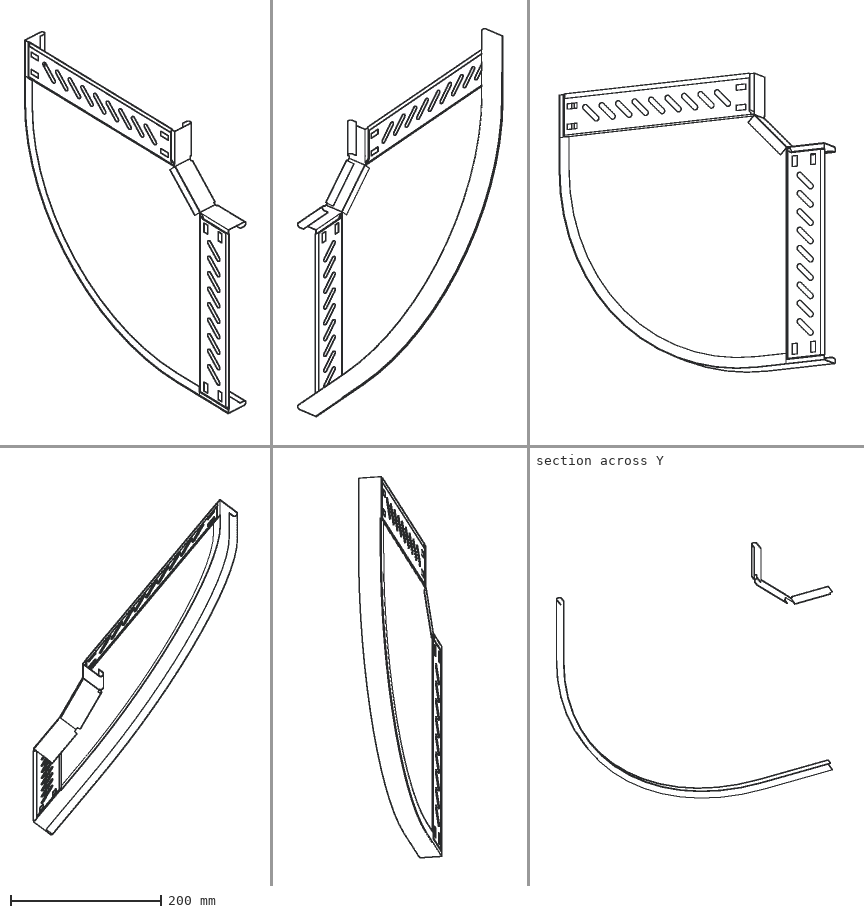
import cadquery as cq
import math


tray_length = 402.0
tray_depth = 32.0
sheet = 1.0
rail_end = 401.0
channel_width = 296.0
bend_center = 299.5

flange_width = 15.0
narrow_flange = 6.5
lip_radius = 4.0
lip_drop = 10.5

inner_narrow_flange = 7.2
tab_width = 14.0
inner_corner = 345.0
lip_relief = 3.2
flange_chamfer = 4.0
flange_setback = 3.2

floor_end = 343.5
joggle_length = 2.5
strip_gap = 1.2
bead_width = 6.5
bead_height = 2.0
foot_overhang = 2.5
foot_height = 2.5

window_length = 14.5
window_height = 7.2
window_spacing = 255.5
window_rows = (356.5, 384.5)
slot_count = 9
slot_pitch = 25.0
slot_length = 31.5
slot_width = 7.2
slot_angle = -45
slot_row = 372.3

lip_center_y = tray_depth - lip_radius
inner_lip_radius = lip_radius - sheet
diagonal_sum = channel_width + inner_corner
diagonal_inside_sum = diagonal_sum - sheet * math.sqrt(2)
diagonal_length = (inner_corner - channel_width) * math.sqrt(2)
mitre = sheet * math.tan(math.radians(22.5))
strip_start = narrow_flange + strip_gap
strip_stop = channel_width - inner_narrow_flange - strip_gap
strip_base = floor_end + joggle_length
strip_middle = (strip_start + strip_stop) / 2
joggle_stop = floor_end - (inner_corner - channel_width)
joggle_middle = floor_end + joggle_length / 2


def slab(points, bottom, top):
    """Flat plate with a straight-sided (X, Z) outline, from Y = bottom to Y = top."""
    return cq.Workplane("XZ", origin=(0, bottom, 0)).polyline(points).close().extrude(bottom - top)


def swapped(body):
    """Mirror image of a body in the plane X = Z."""
    return body.mirror((1, 0, -1))


def lip_section(plane):
    """Half-round lip and its return leg: local x runs into the channel, local y up the wall."""
    lip_end = tray_depth - lip_drop
    return (
        plane.moveTo(0, lip_center_y)
        .threePointArc((lip_radius, tray_depth), (2 * lip_radius, lip_center_y))
        .lineTo(2 * lip_radius, lip_end)
        .lineTo(2 * lip_radius - sheet, lip_end)
        .lineTo(2 * lip_radius - sheet, lip_center_y)
        .threePointArc((lip_radius, lip_center_y + inner_lip_radius), (sheet, lip_center_y))
        .close()
    )


def bend_outline(inset, outline_end):
    """Closed region inside the outer rail: a quarter arc between two straight sides."""
    radius = bend_center - inset
    half_way = bend_center - radius * math.sqrt(0.5)
    return (
        cq.Workplane("XZ")
        .moveTo(inset, outline_end)
        .lineTo(inset, bend_center)
        .threePointArc((half_way, half_way), (bend_center, inset))
        .lineTo(outline_end, inset)
        .lineTo(outline_end, outline_end)
        .close()
    )



def make_bend_band(width, height):
    """Band that follows the outside of the bend, as wide as given, standing on Y = 0."""
    band = bend_outline(0, rail_end).extrude(-height)
    return band.cut(bend_outline(width, tray_length).extrude(-height))


def make_outer_rail():
    wall = make_bend_band(sheet, lip_center_y)
    flange = make_bend_band(flange_width, sheet)
    lip_plane = cq.Plane(origin=(0, 0, bend_center), xDir=(1, 0, 0), normal=(0, 0, 1))
    straight_lip = lip_section(cq.Workplane(lip_plane)).extrude(rail_end - bend_center)
    curved_lip = lip_section(cq.Workplane(lip_plane)).revolve(
        90, (bend_center, 0, 0), (bend_center, -1, 0)
    )
    rail = wall.union(flange).union(curved_lip).union(straight_lip).union(swapped(straight_lip))

    notch = slab(
        [
            (narrow_flange, floor_end),
            (flange_width, floor_end),
            (flange_width, tray_length),
            (narrow_flange, tray_length),
        ],
        0,
        sheet,
    )
    return rail.cut(notch).cut(swapped(notch))



def make_inner_straight_parts():
    """Lip and narrow flange of the straight leg that runs along Z."""
    lip_start = inner_corner + lip_relief
    lip_plane = cq.Plane(origin=(channel_width, 0, lip_start), xDir=(-1, 0, 0), normal=(0, 0, -1))
    lip = lip_section(cq.Workplane(lip_plane)).extrude(lip_start - rail_end)
    flange_start = inner_corner + flange_setback
    flange = slab(
        [
            (channel_width, flange_start),
            (channel_width - inner_narrow_flange, flange_start + flange_chamfer),
            (channel_width - inner_narrow_flange, rail_end),
            (channel_width, rail_end),
        ],
        0,
        sheet,
    )
    return lip.union(flange)


def make_diagonal_parts():
    """Lip and rectangular tab of the 45 degree middle wall."""
    lip_setback = lip_relief * math.sqrt(0.5)
    lip_start = (channel_width + lip_setback, 0, inner_corner - lip_setback)
    diagonal_plane = cq.Plane(origin=lip_start, xDir=(-1, 0, -1), normal=(1, 0, -1))
    lip = lip_section(cq.Workplane(diagonal_plane)).extrude(diagonal_length - 2 * lip_relief)
    tab_run = tab_width * math.sqrt(0.5)
    tab = slab(
        [
            (channel_width, inner_corner),
            (inner_corner, channel_width),
            (inner_corner - tab_run, channel_width - tab_run),
            (channel_width - tab_run, inner_corner - tab_run),
        ],
        0,
        sheet,
    )
    return lip.union(tab)


def make_inner_rail():
    inside = channel_width - sheet
    inside_corner = inner_corner - mitre
    wall = slab(
        [
            (channel_width, rail_end),
            (channel_width, inner_corner),
            (inner_corner, channel_width),
            (rail_end, channel_width),
            (rail_end, inside),
            (inside_corner, inside),
            (inside, inside_corner),
            (inside, rail_end),
        ],
        0,
        lip_center_y,
    )
    leg = make_inner_straight_parts()
    return wall.union(leg).union(swapped(leg)).union(make_diagonal_parts())



def make_floor_sheet():
    corner = diagonal_inside_sum - floor_end
    sheet_outline = bend_outline(sheet, floor_end).extrude(-sheet).translate((0, sheet, 0))
    outside_diagonal = slab(
        [(corner, floor_end), (floor_end, floor_end), (floor_end, corner)], sheet, 2 * sheet
    )
    return sheet_outline.cut(outside_diagonal)


def make_blank_strip():
    """End strip along X: joggled down beside the rail flanges, with a bead along its end."""
    bead_start = tray_length - bead_width
    bead_center = tray_length - bead_width / 2
    bend_angle = math.atan2(sheet, joggle_length)
    bend_sag = math.hypot(joggle_length, sheet) / 4 * math.tan(bend_angle / 2)
    strip = (
        cq.Workplane("YZ", origin=(strip_start, 0, 0))
        .moveTo(sheet, floor_end)
        .sagittaArc((sheet / 2, joggle_middle), bend_sag)
        .sagittaArc((0, strip_base), -bend_sag)
        .lineTo(0, bead_start)
        .threePointArc((bead_height, bead_center), (0, tray_length))
        .lineTo(sheet, tray_length)
        .threePointArc((sheet + bead_height, bead_center), (sheet, bead_start))
        .lineTo(sheet, strip_base)
        .sagittaArc((sheet * 3 / 2, joggle_middle), bend_sag)
        .sagittaArc((2 * sheet, floor_end), -bend_sag)
        .close()
        .extrude(joggle_stop - strip_start)
    )
    foot_stop = strip_stop + foot_overhang
    foot_top = strip_base + foot_height
    trim = slab(
        [
            (strip_stop, tray_length),
            (strip_stop, foot_top + foot_overhang),
            (foot_stop, foot_top),
            (foot_stop, strip_base),
            (joggle_stop, strip_base),
            (joggle_stop, tray_length),
        ],
        0,
        tray_depth,
    )
    return strip.cut(trim)


def perforate(strip):
    """Cut the four windows and the row of slanted slots through an end strip."""
    window_places = [
        (side * window_spacing / 2, row) for side in (-1, 1) for row in window_rows
    ]
    slot_places = [
        ((index - (slot_count - 1) / 2) * slot_pitch, slot_row) for index in range(slot_count)
    ]
    strip_plane = cq.Plane(origin=(strip_middle, 0, 0), xDir=(1, 0, 0), normal=(0, -1, 0))
    windows = cq.Workplane(strip_plane).pushPoints(window_places).rect(window_length, window_height)
    slots = (
        cq.Workplane(strip_plane)
        .pushPoints(slot_places)
        .slot2D(slot_length, slot_width, slot_angle)
    )
    return strip.cut(windows.extrude(-tray_depth)).cut(slots.extrude(-tray_depth))


def make_floor():
    strip = perforate(make_blank_strip())
    return make_floor_sheet().union(strip).union(swapped(strip))


outer_rail = make_outer_rail()
inner_rail = make_inner_rail()
floor = make_floor()
result = cq.Compound.makeCompound([outer_rail.val(), inner_rail.val(), floor.val()])